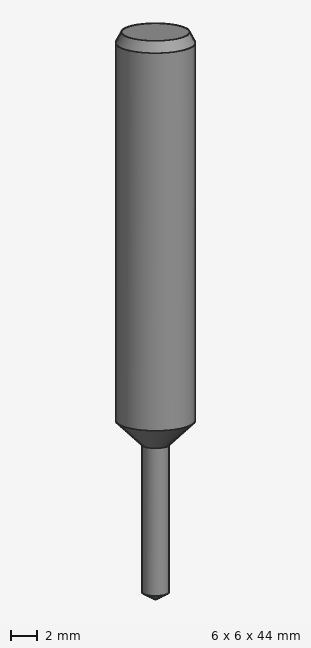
import cadquery as cq
import math

total_length = 44.0
shank_diameter = 6.0
shank_top_diameter = 5.1
top_bevel_height = 0.85
shoulder_z = 13.9
neck_z = 12.0
drill_diameter = 2.02
point_angle = 120.0

shank_radius = shank_diameter / 2
shank_top_radius = shank_top_diameter / 2
drill_radius = drill_diameter / 2
point_height = drill_radius / math.tan(math.radians(point_angle / 2))


def revolve_profile(points):
    """Revolve a closed (radius, z) outline about the Z axis."""
    return cq.Workplane("XZ").polyline(points).close().revolve(360, (0, 0), (0, 1))


def make_shank():
    """Cylindrical shank with a bevelled top and a conical shoulder."""
    return revolve_profile([
        (0, neck_z),
        (drill_radius, neck_z),
        (shank_radius, shoulder_z),
        (shank_radius, total_length - top_bevel_height),
        (shank_top_radius, total_length),
        (0, total_length),
    ])


def make_drill():
    """Slim drill with a conical point, butting against the shank."""
    return revolve_profile([
        (0, 0),
        (drill_radius, point_height),
        (drill_radius, neck_z),
        (0, neck_z),
    ])


shank = make_shank()
drill = make_drill()

result = cq.Compound.makeCompound([shank.val(), drill.val()])